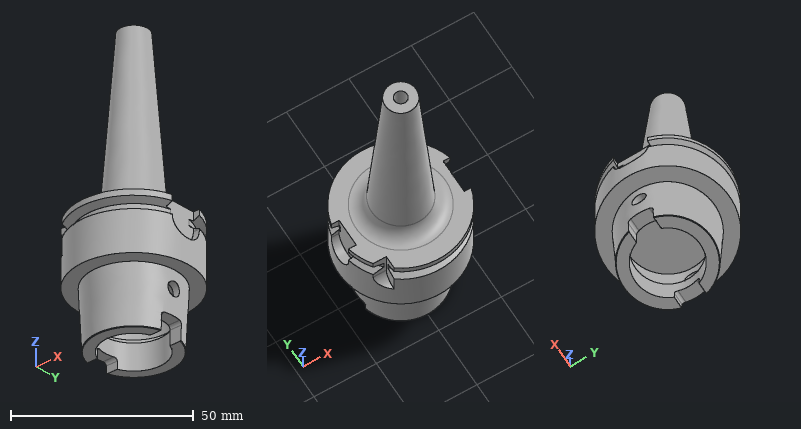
import cadquery as cq
import math


flange_radius = 20.0
flange_height = 20.0
groove_radius = 17.4
groove_mid_z = 15.9
groove_floor_width = 1.9
groove_mouth_width = 4.2

nose_end_z = 80.0
nose_end_radius = 5.0
nose_angle = math.radians(4.5)
root_fillet = 5.0
bore_diameter = 4.0
bore_depth = 20.0

shank_length = 20.0
shank_root_radius = 15.2
shank_end_radius = 14.3
shank_edge_chamfer = 0.2
mouth_radius = 10.5
undercut_radius = 12.7
undercut_start_z = -9.0
cross_hole_diameter = 4.6
cross_hole_z = -5.8

slot_bottom_z = 8.2
slot_floor_x = 17.0
left_slot_width = 9.0
right_slot_width = 11.0
notch_inset = 11.9

keyway_width = 8.0
keyway_corner = 1.0
left_keyway_depth = 3.6
right_keyway_depth = 5.9

overrun = 1.0


def make_body():
    """Revolve the nose, flange and shank as one profile."""
    tangent_z = flange_height + root_fillet * (1 - math.sin(nose_angle))
    tangent_radius = nose_end_radius + (nose_end_z - tangent_z) * math.tan(nose_angle)
    fillet_center_radius = tangent_radius + root_fillet * math.cos(nose_angle)
    fillet_center_z = flange_height + root_fillet
    mid_angle = (math.pi / 2 + nose_angle) / 2
    fillet_middle = (
        fillet_center_radius - root_fillet * math.cos(mid_angle),
        fillet_center_z - root_fillet * math.sin(mid_angle),
    )
    half_floor = groove_floor_width / 2
    half_mouth = groove_mouth_width / 2
    return (
        cq.Workplane("XZ")
        .moveTo(0, -shank_length)
        .lineTo(shank_end_radius - shank_edge_chamfer, -shank_length)
        .lineTo(shank_end_radius, -shank_length + shank_edge_chamfer)
        .lineTo(shank_root_radius, 0)
        .lineTo(flange_radius, 0)
        .lineTo(flange_radius, groove_mid_z - half_mouth)
        .lineTo(groove_radius, groove_mid_z - half_floor)
        .lineTo(groove_radius, groove_mid_z + half_floor)
        .lineTo(flange_radius, groove_mid_z + half_mouth)
        .lineTo(flange_radius, flange_height)
        .lineTo(fillet_center_radius, flange_height)
        .threePointArc(fillet_middle, (tangent_radius, tangent_z))
        .lineTo(nose_end_radius, nose_end_z)
        .lineTo(0, nose_end_z)
        .close()
        .revolve(360, (0, 0), (0, 1))
    )


def round_bottom_slot(width, center_y, start_x, length):
    """Slot tool with a half-round bottom, running along +X and open at the flange top."""
    radius = width / 2
    arc_z = slot_bottom_z + radius
    top_z = flange_height + overrun
    return (
        cq.Workplane("YZ", origin=(start_x, center_y, 0))
        .moveTo(-radius, top_z)
        .lineTo(-radius, arc_z)
        .threePointArc((0, slot_bottom_z), (radius, arc_z))
        .lineTo(radius, top_z)
        .close()
        .extrude(length)
    )


def keyway(side, depth):
    """Keyway tool through one shank wall; side is -1 for -X and +1 for +X."""
    length = flange_radius
    height = depth + overrun
    return (
        cq.Workplane("XY")
        .box(length, keyway_width, height, centered=(True, True, False))
        .edges("|X and >Z")
        .fillet(keyway_corner)
        .translate((side * length / 2, 0, -shank_length - overrun))
    )


result = make_body()

bore = cq.Workplane("XY", origin=(0, 0, nose_end_z)).circle(bore_diameter / 2).extrude(-bore_depth)
shoulder_z = undercut_start_z - (undercut_radius - mouth_radius)
cavity = (
    cq.Workplane("XZ")
    .moveTo(0, -shank_length)
    .lineTo(mouth_radius, -shank_length)
    .lineTo(mouth_radius, shoulder_z)
    .lineTo(undercut_radius, undercut_start_z)
    .lineTo(undercut_radius, 0)
    .lineTo(0, 0)
    .close()
    .revolve(360, (0, 0), (0, 1))
)
result = result.cut(bore).cut(cavity)

cross_hole = (
    cq.Workplane("YZ", origin=(0, 0, cross_hole_z))
    .circle(cross_hole_diameter / 2)
    .extrude(flange_radius, both=True)
)
result = result.cut(cross_hole)

slot_length = flange_radius - slot_floor_x + overrun
result = result.cut(round_bottom_slot(left_slot_width, 0, -slot_floor_x - slot_length, slot_length))
result = result.cut(round_bottom_slot(right_slot_width, 0, slot_floor_x, slot_length))

notch_center_y = -math.sqrt(flange_radius**2 - notch_inset**2)
notch_width = 2 * (-notch_inset - notch_center_y)
notch_length = flange_radius - notch_inset
result = result.cut(round_bottom_slot(notch_width, notch_center_y, -flange_radius, notch_length))

result = result.cut(keyway(-1, left_keyway_depth))
result = result.cut(keyway(1, right_keyway_depth))